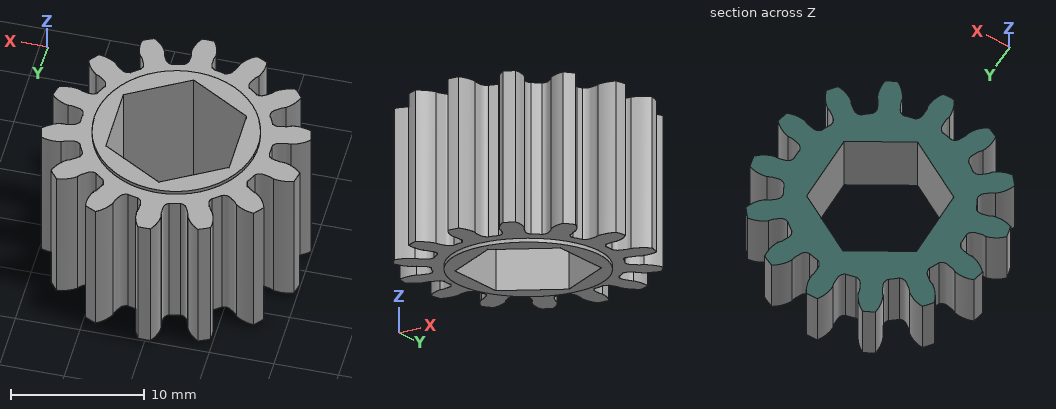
import cadquery as cq
import math

tooth_count = 14
tip_radius = 10.15
root_radius = 7.32
overall_height = 12.65
collar_height = 0.3
collar_radius = 6.35
hex_across_flats = 9.55

tip_half_width = 0.49
flank_mid = (0.83, 9.43)
flank_base = (0.95, 8.64)
neck_top = (0.87, 8.33)
neck_bottom = (0.87, 7.76)
fillet_mid = (0.95, 7.45)
root_half_width = 1.22

gear_height = overall_height - 2 * collar_height
tooth_pitch = 2 * math.pi / tooth_count
hex_across_corners = hex_across_flats / math.cos(math.pi / 6)


def on_circle(radius, x):
    """Point at the given x on the upper half of a circle about the axis."""
    return (x, math.sqrt(radius**2 - x**2))


def mirrored(point):
    return (-point[0], point[1])


def turned(point, angle):
    """Point turned clockwise about the axis."""
    x, y = point
    return (
        x * math.cos(angle) + y * math.sin(angle),
        y * math.cos(angle) - x * math.sin(angle),
    )


def gear_body():
    tip_corner = on_circle(tip_radius, tip_half_width)
    root_end = on_circle(root_radius, root_half_width)
    root_start = mirrored(root_end)
    outline = cq.Workplane("XY").workplane(offset=-gear_height / 2).moveTo(*root_start)
    for index in range(tooth_count):
        angle = index * tooth_pitch

        def place(point):
            return turned(point, angle)

        outline = outline.threePointArc(place(mirrored(fillet_mid)), place(mirrored(neck_bottom)))
        outline = outline.lineTo(*place(mirrored(neck_top)))
        outline = outline.lineTo(*place(mirrored(flank_base)))
        outline = outline.threePointArc(place(mirrored(flank_mid)), place(mirrored(tip_corner)))
        outline = outline.threePointArc(place((0, tip_radius)), place(tip_corner))
        outline = outline.threePointArc(place(flank_mid), place(flank_base))
        outline = outline.lineTo(*place(neck_top))
        outline = outline.lineTo(*place(neck_bottom))
        outline = outline.threePointArc(place(fillet_mid), place(root_end))
        gap_middle = turned((0, root_radius), angle + tooth_pitch / 2)
        next_start = turned(root_start, angle + tooth_pitch)
        outline = outline.threePointArc(gap_middle, next_start)
    return outline.close().extrude(gear_height)


def collar_core():
    """Cylinder that stands out of both gear faces."""
    return cq.Workplane("XY").circle(collar_radius).extrude(overall_height / 2, both=True)


def hex_bore():
    """Through bore with two corners on the Y axis."""
    return (
        cq.Workplane("XY")
        .transformed(rotate=(0, 0, 90))
        .polygon(6, hex_across_corners)
        .extrude(overall_height / 2, both=True)
    )


result = gear_body().union(collar_core()).cut(hex_bore())